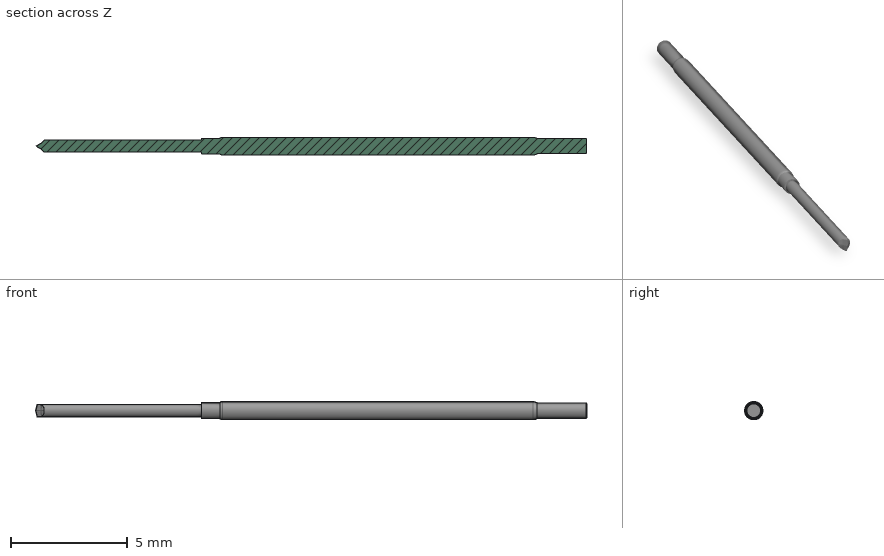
import cadquery as cq
import math

TOTAL_LENGTH = 23.62
PLUNGER_DIAMETER = 0.53
COLLAR_DIAMETER = 0.69
BARREL_DIAMETER = 0.78
TAIL_DIAMETER = 0.67

PLUNGER_LENGTH = 7.10
COLLAR_LENGTH = 0.79
TAIL_LENGTH = 2.13
FRONT_ROUNDING = 0.16
REAR_ROUNDING = 0.35
TAIL_CHAMFER = 0.04

POINT_HALF_ANGLE = 30
SHOULDER_HALF_ANGLE = 45
POINT_THICKNESS = PLUNGER_DIAMETER / 2
TIP_DRAFT = 7

TIP_X = -TOTAL_LENGTH / 2
COLLAR_X = TIP_X + PLUNGER_LENGTH
BARREL_X = COLLAR_X + COLLAR_LENGTH
END_X = TOTAL_LENGTH / 2
TAIL_X = END_X - TAIL_LENGTH


def rounding_run(radius, drop):
    """Axial length of an arc that leaves the barrel tangentially and falls by `drop`."""
    return math.sqrt(radius**2 - (radius - drop) ** 2)


def make_turned_body():
    """Revolve the stepped profile of plunger, collar, barrel and tail about X."""
    plunger_r = PLUNGER_DIAMETER / 2
    collar_r = COLLAR_DIAMETER / 2
    barrel_r = BARREL_DIAMETER / 2
    tail_r = TAIL_DIAMETER / 2

    front_tangent_x = BARREL_X + rounding_run(FRONT_ROUNDING, barrel_r - collar_r)
    rear_tangent_x = TAIL_X - rounding_run(REAR_ROUNDING, barrel_r - tail_r)

    profile = (
        cq.Workplane("XY")
        .moveTo(TIP_X, 0)
        .lineTo(TIP_X, plunger_r)
        .lineTo(COLLAR_X, plunger_r)
        .lineTo(COLLAR_X, collar_r)
        .lineTo(BARREL_X, collar_r)
        .radiusArc((front_tangent_x, barrel_r), FRONT_ROUNDING)
        .lineTo(rear_tangent_x, barrel_r)
        .radiusArc((TAIL_X, tail_r), REAR_ROUNDING)
        .lineTo(END_X - TAIL_CHAMFER, tail_r)
        .lineTo(END_X, tail_r - TAIL_CHAMFER)
        .lineTo(END_X, 0)
        .close()
    )
    return profile.revolve(360, (0, 0), (1, 0))


def make_tip_envelope():
    """Solid enclosing the plunger that narrows to a pointed wedge at the tip.

    Its XY outline is slender near the point and blunter further back. The
    outline shrinks away from the z = 0 plane by the draft angle.
    """
    break_y = POINT_THICKNESS / 2
    break_x = TIP_X + break_y / math.tan(math.radians(POINT_HALF_ANGLE))
    shoulder_y = BARREL_DIAMETER
    shoulder_x = break_x + (shoulder_y - break_y) / math.tan(math.radians(SHOULDER_HALF_ANGLE))
    back_x = END_X + BARREL_DIAMETER
    outline = [
        (TIP_X, 0),
        (break_x, break_y),
        (shoulder_x, shoulder_y),
        (back_x, shoulder_y),
        (back_x, -shoulder_y),
        (shoulder_x, -shoulder_y),
        (break_x, -break_y),
    ]
    half_height = BARREL_DIAMETER
    upper = cq.Workplane("XY").polyline(outline).close().extrude(half_height, taper=TIP_DRAFT)
    return upper.union(upper.mirror("XY"))


result = make_turned_body().intersect(make_tip_envelope())